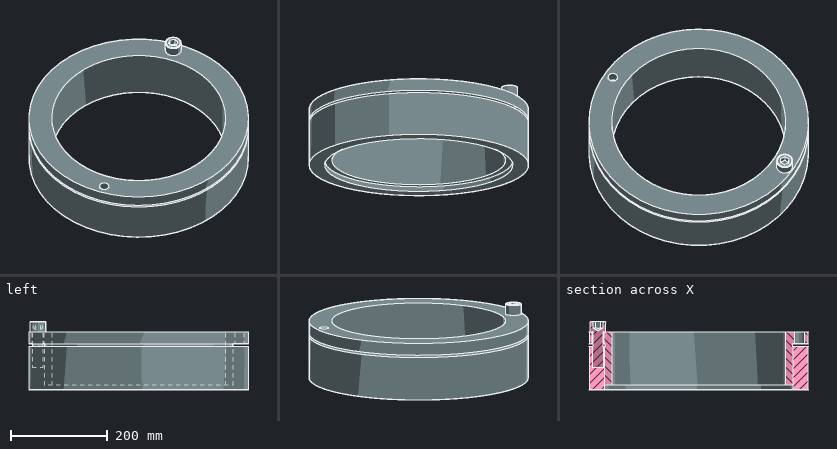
import cadquery as cq
import math

OUTER_DIAMETER = 455.0
BORE_DIAMETER = 360.0
SLEEVE_DIAMETER = 390.0
BASE_HEIGHT = 90.0
GAP_HEIGHT = 5.0
FLANGE_THICKNESS = 25.0
SLEEVE_BOTTOM = 10.0
FLANGE_BOTTOM = BASE_HEIGHT + GAP_HEIGHT
FLANGE_TOP = FLANGE_BOTTOM + FLANGE_THICKNESS

HOLE_PITCH_RADIUS = 209.0
CLEARANCE_DIAMETER = 24.0
JACKING_DIAMETER = 19.0

SHANK_DIAMETER = 22.0
SHANK_DEPTH_IN_BASE = 2 * SHANK_DIAMETER
HEAD_DIAMETER = 33.0
HEAD_HEIGHT = SHANK_DIAMETER
HEAD_CHAMFER_HEIGHT = 1.15
HEAD_CHAMFER_WIDTH = 2.05
SOCKET_FLATS = 17.0
SOCKET_CORNERS = SOCKET_FLATS / math.cos(math.radians(30))
SOCKET_DEPTH = 13.5
SOCKET_TIP_DEPTH = 5.5
SHANK_BOTTOM = BASE_HEIGHT - SHANK_DEPTH_IN_BASE


def cylinder(diameter, bottom, top, y=0.0):
    """Upright cylinder centred on X = 0 at the given Y."""
    return cq.Workplane("XY", origin=(0, y, bottom)).circle(diameter / 2).extrude(top - bottom)


def make_base():
    """Lower ring with a blind hole for the bolt."""
    body = cylinder(OUTER_DIAMETER, 0, BASE_HEIGHT)
    bore = cylinder(SLEEVE_DIAMETER, 0, BASE_HEIGHT)
    bolt_hole = cylinder(SHANK_DIAMETER, SHANK_BOTTOM, BASE_HEIGHT, HOLE_PITCH_RADIUS)
    return body.cut(bore).cut(bolt_hole)


def make_flange():
    """Flanged sleeve held above the base, with a bolt clearance hole and a jacking hole."""
    body = cylinder(OUTER_DIAMETER, FLANGE_BOTTOM, FLANGE_TOP)
    sleeve = cylinder(SLEEVE_DIAMETER, SLEEVE_BOTTOM, FLANGE_BOTTOM)
    bore = cylinder(BORE_DIAMETER, SLEEVE_BOTTOM, FLANGE_TOP)
    clearance_hole = cylinder(CLEARANCE_DIAMETER, FLANGE_BOTTOM, FLANGE_TOP, HOLE_PITCH_RADIUS)
    jacking_hole = cylinder(JACKING_DIAMETER, FLANGE_BOTTOM, FLANGE_TOP, -HOLE_PITCH_RADIUS)
    return body.union(sleeve).cut(bore).cut(clearance_hole).cut(jacking_hole)


def make_socket(head_top):
    """Hexagonal socket with corners along Y, ending in a cone."""
    socket_bottom = head_top - SOCKET_DEPTH
    hexagon = (
        cq.Workplane("XY", origin=(0, HOLE_PITCH_RADIUS, head_top))
        .transformed(rotate=(0, 0, 90))
        .polygon(6, SOCKET_CORNERS)
        .extrude(-SOCKET_DEPTH - SOCKET_TIP_DEPTH)
    )
    cone = cq.Workplane(
        cq.Solid.makeCone(
            SOCKET_CORNERS / 2,
            0,
            SOCKET_TIP_DEPTH,
            pnt=cq.Vector(0, HOLE_PITCH_RADIUS, socket_bottom),
            dir=cq.Vector(0, 0, -1),
        )
    )
    envelope = cylinder(SOCKET_CORNERS, socket_bottom, head_top, HOLE_PITCH_RADIUS).union(cone)
    return hexagon.intersect(envelope)


def make_bolt():
    """Socket head bolt whose head sits on the flange."""
    head_top = FLANGE_TOP + HEAD_HEIGHT
    head = cylinder(HEAD_DIAMETER, FLANGE_TOP, head_top, HOLE_PITCH_RADIUS)
    head = head.faces(">Z").edges().chamfer(HEAD_CHAMFER_HEIGHT, HEAD_CHAMFER_WIDTH)
    shank = cylinder(SHANK_DIAMETER, SHANK_BOTTOM, FLANGE_TOP, HOLE_PITCH_RADIUS)
    return head.union(shank).cut(make_socket(head_top))


base = make_base()
flange = make_flange()
bolt = make_bolt()

result = cq.Compound.makeCompound([base.val(), flange.val(), bolt.val()])